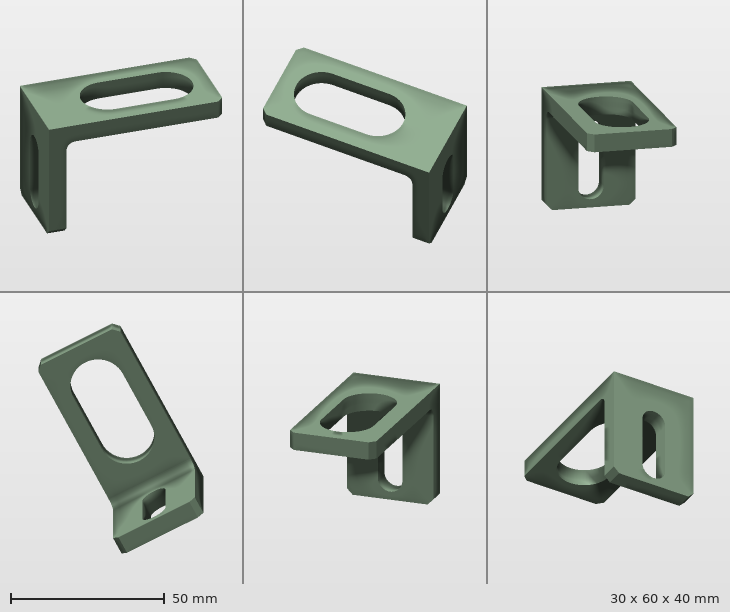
import cadquery as cq

width = 30.0
length = 60.0
height = 40.0
thickness = 6.0
inner_fillet = 3.0
corner_chamfer = 2.0

top_slot_width = 18.0
top_slot_length = 38.0
top_slot_end_margin = 6.0

front_slot_width = 8.5
front_slot_length = 26.5
front_slot_bottom_margin = 2.75


def make_legs():
    """L-shaped body centred on X, with its outer bend edge at Y = 0, Z = height."""
    top_leg = cq.Workplane("XY").box(width, length, thickness, centered=(True, False, False))
    top_leg = top_leg.translate((0, 0, height - thickness))
    hanging_leg = cq.Workplane("XY").box(width, thickness, height, centered=(True, False, False))
    return top_leg.union(hanging_leg)


def make_top_slot():
    """Cutter for the slot running along Y."""
    center_y = length - top_slot_end_margin - top_slot_length / 2
    return (
        cq.Workplane("XY")
        .center(0, center_y)
        .slot2D(top_slot_length, top_slot_width, 90)
        .extrude(height)
        .translate((0, 0, height - thickness))
    )


def make_front_slot():
    """Cutter for the slot running along Z."""
    center_z = front_slot_bottom_margin + front_slot_length / 2
    return (
        cq.Workplane("XZ")
        .center(0, center_z)
        .slot2D(front_slot_length, front_slot_width, 90)
        .extrude(-thickness)
    )


body = make_legs()

inner_bend = cq.selectors.NearestToPointSelector((0, thickness, height - thickness))
body = body.edges("|X").edges(inner_bend).fillet(inner_fillet)

body = body.faces(">Y").edges("|Z").chamfer(corner_chamfer)
body = body.faces("<Z").edges("|Y").chamfer(corner_chamfer)

result = body.cut(make_top_slot()).cut(make_front_slot())